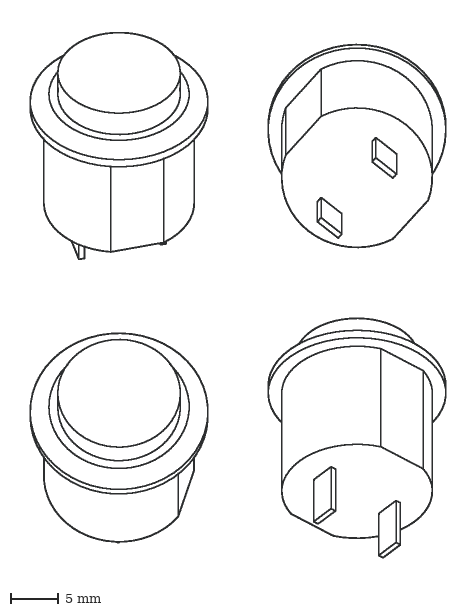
import cadquery as cq

body_bottom = 5.68
flange_bottom = 19.0
bevel_bottom = 20.02
bevel_top = 21.0
button_edge = 24.0
total_height = 24.5

body_diameter = 16.0
flange_diameter = 18.9
bevel_top_diameter = 14.9
button_diameter = 13.0
crown_flat_diameter = 3.0

across_flats = 14.9
terminal_width = 2.9
terminal_thickness = 0.61
terminal_spacing = 9.0


def make_body():
    """Round barrel with two flats facing -X and +X."""
    height = flange_bottom - body_bottom
    barrel = cq.Workplane("XY", origin=(0, 0, body_bottom)).circle(body_diameter / 2).extrude(height)
    flats = cq.Workplane("XY", origin=(0, 0, body_bottom)).rect(across_flats, body_diameter).extrude(height)
    return barrel.intersect(flats)


def make_head():
    """Bevelled flange and shallow conical push button, revolved about Z."""
    profile = [
        (0, flange_bottom),
        (flange_diameter / 2, flange_bottom),
        (flange_diameter / 2, bevel_bottom),
        (bevel_top_diameter / 2, bevel_top),
        (button_diameter / 2, bevel_top),
        (button_diameter / 2, button_edge),
        (crown_flat_diameter / 2, total_height),
        (0, total_height),
    ]
    return cq.Workplane("XZ").polyline(profile).close().revolve(360, (0, 0, 0), (0, 1, 0))


def make_terminals():
    """Two flat blades hanging below the body, spaced along Y."""
    return (
        cq.Workplane("XY")
        .rarray(0.25, terminal_spacing, 1, 2)
        .rect(terminal_width, terminal_thickness)
        .extrude(body_bottom)
    )


result = make_body().union(make_head()).union(make_terminals())